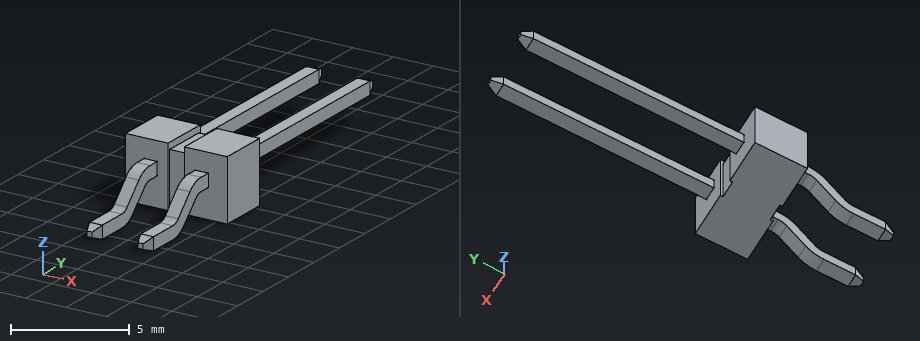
import cadquery as cq
import math

pin_count = 2
pitch = 2.55

housing_depth = pitch
housing_height = 3.05
waist_width = 0.81
waist_top_drop = 0.32
waist_face_inset = 0.13

pin_size = 0.65
pin_height = 1.78
overall_length = 18.03
tail_reach = 4.81
tip_length = 0.5
tip_size = 0.27
tail_lead = 0.55
bend_angle = math.radians(45)
bend_inner_radius = 0.6

housing_length = pin_count * pitch
pin_positions = [(i - (pin_count - 1) / 2) * pitch for i in range(pin_count)]
waist_positions = [(i - pin_count / 2) * pitch for i in range(1, pin_count)]


def make_housing():
    """Row of blocks joined by webs, with a square through hole for each pin."""
    body = cq.Workplane("XY").box(
        housing_length, housing_depth, housing_height, centered=(True, False, False)
    )
    web_height = housing_height - waist_top_drop
    web_depth = housing_depth - 2 * waist_face_inset
    for x in waist_positions:
        gap = cq.Workplane("XY").box(
            waist_width, housing_depth, housing_height, centered=(True, False, False)
        )
        web = cq.Workplane("XY").box(
            waist_width, web_depth, web_height, centered=(True, False, False)
        )
        gap = gap.cut(web.translate((0, waist_face_inset, 0)))
        body = body.cut(gap.translate((x, 0, 0)))
    for x in pin_positions:
        hole = cq.Workplane("XY").box(
            pin_size, housing_depth, pin_size, centered=(True, False, True)
        )
        body = body.cut(hole.translate((x, 0, pin_height)))
    return body


def make_tip(y, z, direction):
    """Square taper that starts at the pin end and points along +Y or -Y."""
    plane = cq.Plane(origin=(0, y, z), xDir=(1, 0, 0), normal=(0, direction, 0))
    return (
        cq.Workplane(plane)
        .rect(pin_size, pin_size)
        .workplane(offset=tip_length)
        .rect(tip_size, tip_size)
        .loft(ruled=True)
    )


def make_pin(x):
    """Square pin with an S-bent tail resting on the mounting plane."""
    radius = bend_inner_radius + pin_size / 2
    tail_z = pin_size / 2
    back_y = overall_length - tail_reach - tip_length
    front_y = tip_length - tail_reach

    bend_y = radius * math.sin(bend_angle)
    bend_z = radius * (1 - math.cos(bend_angle))
    slope_z = pin_height - tail_z - 2 * bend_z
    slope_y = slope_z / math.tan(bend_angle)
    half_bend_y = radius * math.sin(bend_angle / 2)
    half_bend_z = radius * (1 - math.cos(bend_angle / 2))

    bend_start_y = -tail_lead
    bend_end_y = bend_start_y - 2 * bend_y - slope_y
    slope_start = (bend_start_y - bend_y, pin_height - bend_z)
    slope_end = (bend_end_y + bend_y, tail_z + bend_z)

    centre_line = (
        cq.Workplane("YZ")
        .moveTo(back_y, pin_height)
        .lineTo(bend_start_y, pin_height)
        .threePointArc((bend_start_y - half_bend_y, pin_height - half_bend_z), slope_start)
        .lineTo(*slope_end)
        .threePointArc((bend_end_y + half_bend_y, tail_z + half_bend_z), (bend_end_y, tail_z))
        .lineTo(front_y, tail_z)
    )
    shank = (
        cq.Workplane("XZ", origin=(0, back_y, pin_height))
        .rect(pin_size, pin_size)
        .sweep(centre_line)
    )
    pin = shank.union(make_tip(back_y, pin_height, 1)).union(make_tip(front_y, tail_z, -1))
    return pin.translate((x, 0, 0))


housing = make_housing()
pins = [make_pin(x) for x in pin_positions]

result = cq.Compound.makeCompound([housing.solids().val(), *[pin.solids().val() for pin in pins]])